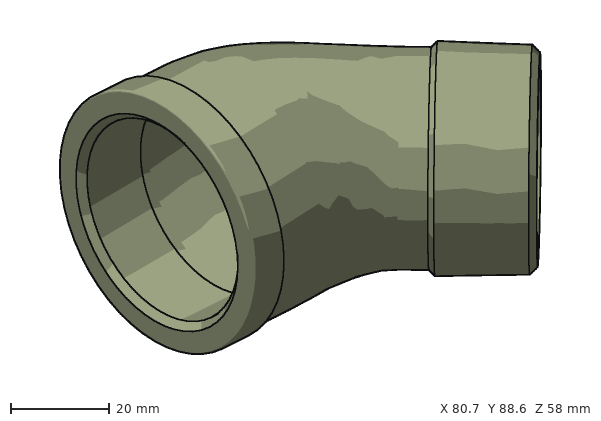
import cadquery as cq
import math


bend_angle = 45
overall_length = 88.6

collar_radius = 29.0
collar_height = 8.4
collar_edge_fillet = 0.5
socket_radius = 28.0
socket_length = 20.0
bore_radius = 22.25
bore_depth = 16.7
bore_chamfer = 1.6
cavity_radius = 23.75

spigot_face_radius = 21.9
spigot_end_chamfer = 1.6
spigot_tip_radius = spigot_face_radius + spigot_end_chamfer
spigot_shoulder_radius = 24.0
spigot_shoulder_distance = 20.9
shoulder_chamfer = 1.2
neck_radius = spigot_shoulder_radius - shoulder_chamfer
neck_distance = 28.3
spigot_bore_radius = 18.8

spigot_reach = 51.15
sin_bend = math.sin(math.radians(bend_angle))
cos_bend = math.cos(math.radians(bend_angle))
axis_corner_y = overall_length - spigot_reach * cos_bend - spigot_face_radius * sin_bend

socket_direction = cq.Vector(0, 1, 0)
spigot_direction = cq.Vector(sin_bend, cos_bend, 0)
socket_across = cq.Vector(1, 0, 0)
spigot_across = cq.Vector(cos_bend, -sin_bend, 0)

bend_start = cq.Vector(0, socket_length, 0)
spigot_corner = cq.Vector(0, axis_corner_y, 0)
spigot_face_center = spigot_corner + spigot_direction * spigot_reach
bend_end = spigot_face_center - spigot_direction * neck_distance

bend_spans = 8


def revolve_about_y(points):
    """Revolve a closed (radius, y) outline about the Y axis."""
    return cq.Workplane("XY").polyline(points).close().revolve(360, (0, 0, 0), (0, 1, 0))


def hermite(t, start, start_tangent, end, end_tangent):
    """Point on the cubic curve with the given end points and end tangents."""
    return (
        start * (2 * t**3 - 3 * t**2 + 1)
        + start_tangent * (t**3 - 2 * t**2 + t)
        + end * (3 * t**2 - 2 * t**3)
        + end_tangent * (t**3 - t**2)
    )


def bend_solid(start_radius, end_radius):
    """Smooth bend between two circles, tangent to both axes at its ends.

    The outer and inner sides of the bend are cubic curves whose end tangents
    are as long as their chords; each section is an ellipse spanning the two.
    """
    def side_point(side, t):
        start = bend_start + socket_across * (side * start_radius)
        end = bend_end + spigot_across * (side * end_radius)
        chord = (end - start).Length
        return hermite(t, start, socket_direction * chord, end, spigot_direction * chord)

    sections = []
    for i in range(bend_spans + 1):
        t = i / bend_spans
        outer_side = side_point(-1, t)
        inner_side = side_point(1, t)
        center = (outer_side + inner_side) * 0.5
        across = inner_side - center
        half_height = hermite(t, start_radius, 0, end_radius, 0)
        normal = cq.Vector(0, 0, 1).cross(across)
        plane = cq.Plane(origin=center, xDir=cq.Vector(0, 0, 1), normal=normal)
        section = cq.Workplane(plane).ellipse(half_height, across.Length)
        sections.append(section.val())
    return cq.Workplane(cq.Solid.makeLoft(sections))


def socket_body():
    collar = (
        cq.Workplane("XZ")
        .circle(collar_radius)
        .extrude(-collar_height)
        .faces("<Y or >Y")
        .edges()
        .fillet(collar_edge_fillet)
    )
    return collar.union(cq.Workplane("XZ").circle(socket_radius).extrude(-socket_length))


def socket_bore():
    return revolve_about_y([
        (0, 0),
        (bore_radius + bore_chamfer, 0),
        (bore_radius, bore_chamfer),
        (bore_radius, bore_depth),
        (cavity_radius, bore_depth),
        (cavity_radius, socket_length),
        (0, socket_length),
    ])


def place_on_spigot(shape):
    """Move a shape built along -Y from the origin onto the end of the spigot."""
    return shape.rotate((0, 0, 0), (0, 0, 1), -bend_angle).translate(spigot_face_center)


def spigot_body():
    return place_on_spigot(revolve_about_y([
        (0, 0),
        (spigot_face_radius, 0),
        (spigot_tip_radius, -spigot_end_chamfer),
        (spigot_shoulder_radius, -spigot_shoulder_distance),
        (neck_radius, -spigot_shoulder_distance - shoulder_chamfer),
        (neck_radius, -neck_distance),
        (0, -neck_distance),
    ]))


def spigot_bore():
    return place_on_spigot(cq.Workplane("XZ").circle(spigot_bore_radius).extrude(neck_distance))


outside = socket_body().union(bend_solid(socket_radius, neck_radius)).union(spigot_body())
inside = socket_bore().union(bend_solid(cavity_radius, spigot_bore_radius)).union(spigot_bore())

result = outside.cut(inside)